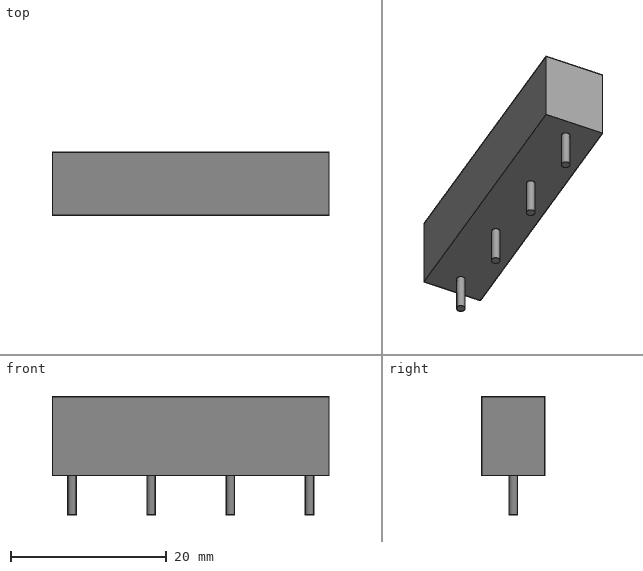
import cadquery as cq

length = 35.55
width = 8.1
overall_height = 15.2
pin_length = 5.05
housing_height = overall_height - pin_length

pin_diameter = 1.1
pin_count = 4
pin_pitch = 10.17


def make_housing():
    """Plain block standing on the XY plane."""
    return cq.Workplane("XY").box(length, width, housing_height, centered=(True, True, False))


def make_pin(x):
    """Round pin hanging from the underside of the housing at the given X."""
    return cq.Workplane("XY").center(x, 0).circle(pin_diameter / 2).extrude(-pin_length)


housing = make_housing()

first_pin_x = -pin_pitch * (pin_count - 1) / 2
pins = [make_pin(first_pin_x + index * pin_pitch) for index in range(pin_count)]

result = cq.Compound.makeCompound([housing.val(), *[pin.val() for pin in pins]])